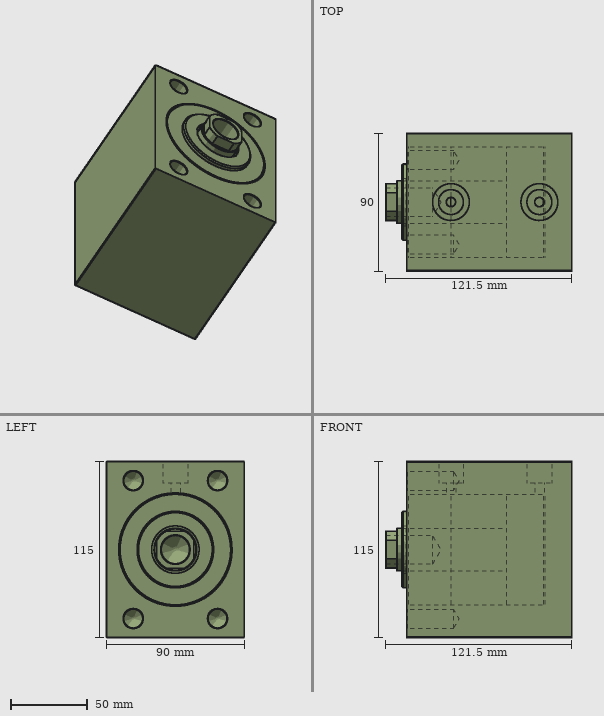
import cadquery as cq
import math


overall_length = 121.5
block_width = 90.0
block_height = 115.0
edge_chamfer = 0.5

head_length = 7.0
head_across_flats = 24.0
rod_diameter = 28.0
rod_chamfer = 0.5
rod_exposed_length = 3.5
rod_thread_diameter = 18.5
rod_thread_depth = 30.4

boss_diameter = 50.0
boss_height = 3.0
boss_chamfer = 1.0
wiper_recess_diameter = 31.0
wiper_recess_depth = 2.4

bore_diameter = 72.2
bore_chamfer = 1.0
bore_depth = 90.2
piston_length = 24.3
piston_rear_clearance = 0.9

mount_diameter = 12.4
mount_depth = 30.4
mount_spacing_y = 55.0
mount_spacing_z = 90.0

drill_point_angle = 118.0
hole_mouth_chamfer = 0.4

port_spacing = 57.7
front_port_x = 28.9
spotface_diameter = 24.0
spotface_depth = 0.1
port_diameter = 16.3
port_depth = 14.0
passage_diameter = 6.1

head_front_x = -(head_length + rod_exposed_length + boss_height)
head_rear_x = head_front_x + head_length
block_length = overall_length + head_front_x
head_diameter = rod_diameter - 2 * rod_chamfer
piston_rear_x = bore_depth - piston_rear_clearance
piston_front_x = piston_rear_x - piston_length
gland_rear_x = front_port_x


def cylinder_x(diameter, start_x, end_x):
    """Solid cylinder on the X axis."""
    return cq.Workplane("YZ").workplane(offset=start_x).circle(diameter / 2).extrude(end_x - start_x)


def revolve_about_x(profile):
    """Revolve a closed (x, radius) profile about the X axis."""
    return cq.Workplane("XZ").polyline(profile).close().revolve(360, (0, 0, 0), (1, 0, 0))


def drilled_hole(diameter, depth, start_x):
    """Blind hole along +X with a chamfered mouth and a conical drill point beyond its depth."""
    radius = diameter / 2
    shoulder_x = start_x + depth
    tip_x = shoulder_x + radius / math.tan(math.radians(drill_point_angle / 2))
    return revolve_about_x([
        (start_x, 0),
        (start_x, radius + hole_mouth_chamfer),
        (start_x + hole_mouth_chamfer, radius),
        (shoulder_x, radius),
        (tip_x, 0),
    ])


def cylinder_bore():
    """Blind bore for gland and piston, chamfered at its mouth."""
    radius = bore_diameter / 2
    return revolve_about_x([
        (0, 0),
        (0, radius + bore_chamfer),
        (bore_chamfer, radius),
        (bore_depth, radius),
        (bore_depth, 0),
    ])


def oil_port(x):
    """Spotface, threaded bore and narrow passage from the top face down into the cylinder bore."""
    top = cq.Workplane("XY").workplane(offset=block_height / 2).center(x, 0)
    spotface = top.circle(spotface_diameter / 2).extrude(-spotface_depth)
    port = top.circle(port_diameter / 2).extrude(-port_depth)
    passage = top.circle(passage_diameter / 2).extrude(-block_height / 2)
    return spotface.union(port).union(passage)


def make_block():
    block = cq.Workplane("XY").box(block_length, block_width, block_height, centered=(False, True, True))
    block = block.edges("|X").chamfer(edge_chamfer)
    block = block.cut(cylinder_bore())
    mount_hole = drilled_hole(mount_diameter, mount_depth, 0)
    for side_y in (-1, 1):
        for side_z in (-1, 1):
            place = (0, side_y * mount_spacing_y / 2, side_z * mount_spacing_z / 2)
            block = block.cut(mount_hole.translate(place))
    for port_x in (front_port_x, front_port_x + port_spacing):
        block = block.cut(oil_port(port_x))
    return block


def make_gland():
    """Bush flush with the block face, with a chamfered boss and a wiper recess around the rod."""
    boss_radius = boss_diameter / 2
    rod_radius = rod_diameter / 2
    recess_radius = wiper_recess_diameter / 2
    recess_floor_x = wiper_recess_depth - boss_height
    return revolve_about_x([
        (-boss_height, recess_radius),
        (-boss_height, boss_radius - boss_chamfer),
        (boss_chamfer - boss_height, boss_radius),
        (0, boss_radius),
        (0, bore_diameter / 2),
        (gland_rear_x, bore_diameter / 2),
        (gland_rear_x, rod_radius),
        (recess_floor_x, rod_radius),
        (recess_floor_x, recess_radius),
    ])


def make_piston_rod():
    """Rod with a four-flat head, a tapped front end and a piston at its rear."""
    rod_radius = rod_diameter / 2
    piston_radius = bore_diameter / 2
    rod = revolve_about_x([
        (head_rear_x, 0),
        (head_rear_x, rod_radius - rod_chamfer),
        (head_rear_x + rod_chamfer, rod_radius),
        (piston_front_x, rod_radius),
        (piston_front_x, piston_radius),
        (piston_rear_x, piston_radius),
        (piston_rear_x, 0),
    ])
    flats = cq.Workplane("YZ").workplane(offset=head_front_x)
    flats = flats.rect(head_across_flats, head_across_flats).extrude(head_length)
    head = cylinder_x(head_diameter, head_front_x, head_rear_x).intersect(flats)
    return rod.union(head).cut(drilled_hole(rod_thread_diameter, rod_thread_depth, head_front_x))


block = make_block()
gland = make_gland()
piston_rod = make_piston_rod()

result = cq.Compound.makeCompound([block.val(), gland.val(), piston_rod.val()])